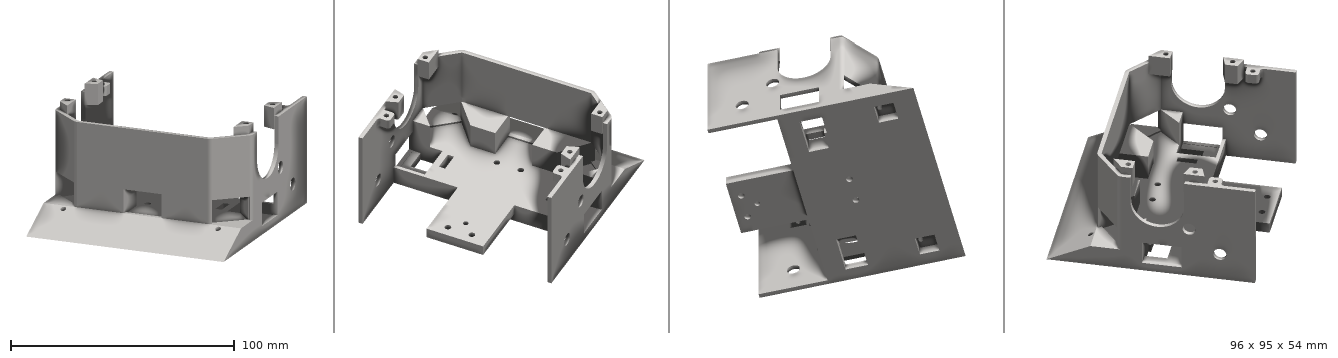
import cadquery as cq
import math

width = 96.0
length = 95.0
wall_top = 50.0
wall = 2.0
half_width = width / 2
inner_x = half_width - wall

wedge_length = 20.0
ledge_top = 10.0
wedge_hole_d = 2.5
wedge_hole_x = 37.6
wedge_hole_y = 18.0
wedge_pocket_width = 9.0
wedge_pocket_front = 10.7
wedge_pocket_back = 19.7
underside_depth = 5.0

floor_top = 9.0
floor_back = 63.3
tail_width = 28.1
tail_bottom = 4.0
mount_hole_d = 3.0
mount_hole_x = 6.0
mount_hole_rows = (40.0, 90.0)
tail_pin_hole_d = 2.5
tail_pin_hole_y = 84.0

corner_angle = 40.0
inner_corner_x = 32.1
inner_front_y = wedge_length + wall
corner_run = inner_x - inner_corner_x
inner_side_y = inner_front_y + corner_run * math.tan(math.radians(corner_angle))
outer_corner_x = inner_corner_x + wall * math.tan(math.radians(corner_angle / 2))
outer_side_y = inner_side_y - wall * math.tan(math.radians((90 - corner_angle) / 2))
bend_radius = 3.0

opening_top = 21.2
front_opening_width = 18.4
block_back = 35.0
angled_wall_length = corner_run / math.cos(math.radians(corner_angle))
opening_inset = 0.2
angled_opening_end = angled_wall_length - opening_inset
block_step = 0.14

notch_width = 24.6
notch_y = 50.5
notch_bottom = 24.8
axle_hole_d = 6.0
axle_holes = ((65.0, 25.4), (79.0, 13.5))

pocket_front = 43.6
pocket_back = 61.6
pocket_inner_x = 31.3
pocket_floor = 3.8
side_window_sill = 4.0
side_window_top = 15.1
floor_window_back = 54.0
floor_window_outer_x = 42.1
floor_window_inner_x = 33.4
tie_front = 44.8
tie_slot_outer_x = 28.0
tie_slot_inner_x = 25.0

boss_top = 54.0
boss_height = 10.0
boss_reach = 5.6
boss_hole_d = 2.5
boss_hole_x = 43.4
front_boss_back = 38.9
front_boss_hole_y = 36.4
rear_boss_y = 66.8
rear_boss_root_width = 9.6
rear_boss_tip_width = 5.8
lug_y = 76.0
lug_width = 6.2
lug_height = 4.6
lug_radius = 1.5
boss_tip_x = inner_x - boss_reach


def box(x0, x1, y0, y1, z0, z1):
    """Box between opposite corners."""
    return cq.Workplane("XY").box(x1 - x0, y1 - y0, z1 - z0, centered=False).translate((x0, y0, z0))


def prism(points, z0, z1):
    """Upright prism over a closed XY outline."""
    return cq.Workplane("XY").workplane(offset=z0).polyline(points).close().extrude(z1 - z0)


def drill(x, y, diameter):
    """Vertical cutter that passes through the full height."""
    return cq.Workplane("XY").center(x, y).circle(diameter / 2).extrude(boss_top)


def both_sides(shape):
    """The shape together with its mirror image across X = 0."""
    return shape.union(shape.mirror("YZ"))


def on_angled_wall(distance):
    """Point on the inner face of the left angled wall, measured from the side wall."""
    angle = math.radians(corner_angle)
    return (-inner_x + distance * math.cos(angle), inner_side_y - distance * math.sin(angle))


def square_to_wall(start, y_end):
    """Point reached at y_end from start, moving square to the left angled wall."""
    x, y = start
    return (x + (y_end - y) * math.tan(math.radians(corner_angle)), y_end)


def make_cavity():
    """Space between the walls, open at the top, bottom and back."""
    outline = [
        (-inner_corner_x, inner_front_y), (inner_corner_x, inner_front_y),
        (inner_x, inner_side_y), (inner_x, length),
        (-inner_x, length), (-inner_x, inner_side_y),
    ]
    return prism(outline, 0, boss_top)


def make_base():
    """Wedge-nosed slab up to the ledge."""
    profile = [(0, 0), (length, 0), (length, ledge_top), (wedge_length, ledge_top)]
    return cq.Workplane("YZ").polyline(profile).close().extrude(half_width, both=True)


def make_walls():
    """Outer wall block with rounded bends, before hollowing."""
    outline = [
        (-outer_corner_x, wedge_length), (outer_corner_x, wedge_length),
        (half_width, outer_side_y), (half_width, length),
        (-half_width, length), (-half_width, outer_side_y),
    ]
    block = prism(outline, ledge_top, wall_top)
    return block.edges("|Z exc >Y").fillet(bend_radius)


def make_floor():
    """Floor plate with a thinner tail at the back."""
    plate = box(-inner_x, inner_x, wedge_length, floor_back, 0, floor_top)
    tail = box(-tail_width / 2, tail_width / 2, floor_back, length, tail_bottom, floor_top)
    return plate.union(tail)


def make_blocks():
    """Blocks on the floor beside the front and angled openings."""
    front_start = on_angled_wall(angled_opening_end - block_step)
    front_block = prism([
        (-inner_corner_x, inner_front_y),
        front_start,
        square_to_wall(front_start, block_back),
        (-front_opening_width / 2, block_back),
        (-front_opening_width / 2, inner_front_y),
    ], 0, opening_top)
    side_start = on_angled_wall(block_step)
    side_block = prism([
        (-inner_x, inner_side_y),
        side_start,
        square_to_wall(side_start, pocket_front),
        (-inner_x, pocket_front),
    ], 0, opening_top)
    return both_sides(front_block.union(side_block))


def make_wall_openings():
    """Front opening plus one opening square through each angled wall."""
    front = box(-front_opening_width / 2, front_opening_width / 2,
                0, inner_front_y, ledge_top, opening_top)
    side_end = on_angled_wall(0)
    front_end = on_angled_wall(angled_opening_end)
    angled = prism([
        side_end,
        front_end,
        square_to_wall(front_end, front_end[1] - 2 * wall),
        square_to_wall(side_end, side_end[1] - 2 * wall),
    ], ledge_top, opening_top)
    return front.union(both_sides(angled))


def make_side_openings():
    """Round-bottomed notch and axle holes through both side walls."""
    radius = notch_width / 2
    across = cq.Workplane("YZ")
    notch = (across.moveTo(notch_y - radius, boss_top)
             .lineTo(notch_y - radius, notch_bottom + radius)
             .threePointArc((notch_y, notch_bottom), (notch_y + radius, notch_bottom + radius))
             .lineTo(notch_y + radius, boss_top).close().extrude(half_width, both=True))
    holes = across.pushPoints(axle_holes).circle(axle_hole_d / 2).extrude(half_width, both=True)
    return notch.union(holes)


def make_pockets():
    """Side pockets through the walls, with floor windows, tie slots and tie channels."""
    pocket = box(-inner_x, -pocket_inner_x, pocket_front, pocket_back, pocket_floor, floor_top)
    side_window = box(-half_width, -inner_x, pocket_front, pocket_back, side_window_sill, side_window_top)
    floor_window = box(-floor_window_outer_x, -floor_window_inner_x,
                       pocket_front, floor_window_back, 0, floor_top)
    tie_slot = box(-tie_slot_outer_x, -tie_slot_inner_x, tie_front, floor_window_back, 0, floor_top)
    tie_channel = box(-floor_window_inner_x, -tie_slot_inner_x,
                      tie_front, floor_window_back, 0, underside_depth)
    return both_sides(pocket.union(side_window).union(floor_window).union(tie_slot).union(tie_channel))


def make_bosses():
    """Front boss, tapered rear boss and rounded lug on each side wall."""
    boss_bottom = boss_top - boss_height
    tip_front_y = inner_side_y - boss_reach * math.tan(math.radians(corner_angle))
    front_boss = prism([
        (-inner_x, inner_side_y), (-boss_tip_x, tip_front_y),
        (-boss_tip_x, front_boss_back), (-inner_x, front_boss_back),
    ], boss_bottom, boss_top)
    rear_boss = prism([
        (-inner_x, rear_boss_y - rear_boss_root_width / 2),
        (-boss_tip_x, rear_boss_y - rear_boss_tip_width / 2),
        (-boss_tip_x, rear_boss_y + rear_boss_tip_width / 2),
        (-inner_x, rear_boss_y + rear_boss_root_width / 2),
    ], boss_bottom, boss_top)
    lug_back = lug_y + lug_width / 2
    lug_bottom = wall_top - lug_height
    lug = box(-inner_x, -boss_tip_x, lug_y - lug_width / 2, lug_back, lug_bottom, wall_top)
    lug = lug.edges("|Z and >X").fillet(lug_radius)
    web = (cq.Workplane("XY").workplane(offset=lug_bottom).moveTo(-inner_x, lug_back)
           .lineTo(-inner_x + lug_radius, lug_back)
           .radiusArc((-inner_x, lug_back + lug_radius), lug_radius).close().extrude(lug_height))
    return both_sides(front_boss.union(rear_boss).union(lug).union(web))


def make_boss_holes():
    """Vertical screw holes through the bosses and lugs, stopping above the floor blocks."""
    cutters = cq.Workplane("XY")
    for y in (front_boss_hole_y, rear_boss_y, lug_y):
        cutters = cutters.union(drill(-boss_hole_x, y, boss_hole_d))
    return both_sides(cutters.translate((0, 0, opening_top)))


def make_floor_holes():
    """Mounting holes in the floor and tail, and the single pin hole in the tail."""
    cutters = drill(0, tail_pin_hole_y, tail_pin_hole_d)
    for y in mount_hole_rows:
        cutters = cutters.union(both_sides(drill(-mount_hole_x, y, mount_hole_d)))
    return cutters


def make_wedge_cuts():
    """Screw hole through each end of the wedge, opening into an underside pocket."""
    pocket = box(-wedge_hole_x - wedge_pocket_width / 2, -wedge_hole_x + wedge_pocket_width / 2,
                 wedge_pocket_front, wedge_pocket_back, 0, underside_depth)
    return both_sides(drill(-wedge_hole_x, wedge_hole_y, wedge_hole_d).union(pocket))


result = make_base().union(make_walls()).cut(make_cavity())
result = result.cut(make_wall_openings()).union(make_floor()).union(make_blocks())
result = result.cut(make_side_openings()).cut(make_pockets())
result = result.union(make_bosses()).cut(make_boss_holes())
result = result.cut(make_floor_holes()).cut(make_wedge_cuts())